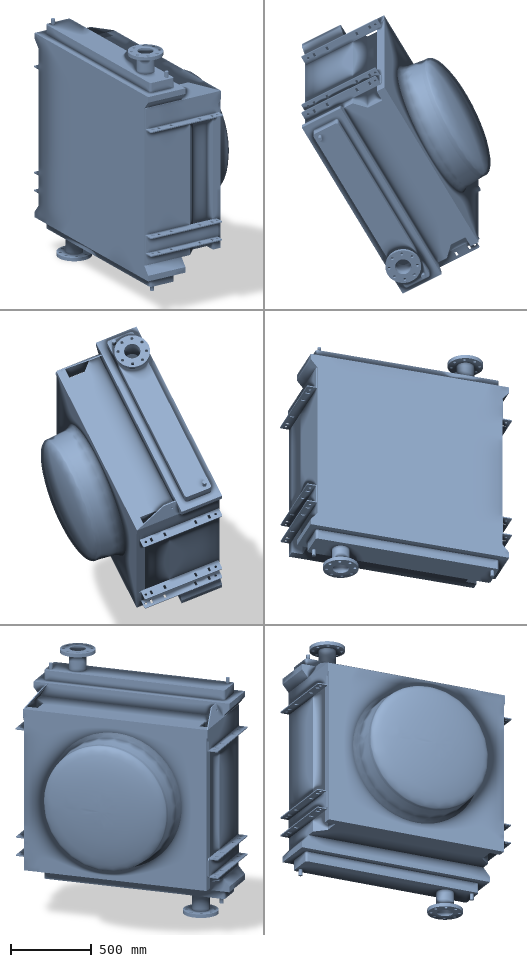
import cadquery as cq


body_half_width = 605.0
body_half_height = 525.0
body_depth = 562.0
rear_flange = 55.0
groove_depth = 70.0
groove_ramp_rear = 405.0
groove_ramp_front = 337.0

header_half_width = 649.0
header_depth = 275.0
header_edge = 577.0
header_height = 615.0

tank_half_width = 598.0
tank_depth = 178.0
tank_centre_y = 137.0
tank_height = 680.0
tank_corner = 15.0

pipe_x = 408
pipe_radius = 55.0
bore_radius = 50.0
overall_half_height = 815
pipe_flange_radius = 111.0
pipe_flange_thickness = 23.0
bolt_circle_radius = 88.0
bolt_hole_radius = 10.0
bolt_count = 8
plug_x = 565.0
plug_offset_y = 54.0
plug_radius = 12.2
plug_height = 719.0

cowl_radius = 406.0
flare_radius = 438.0
flare_middle_radius = 415.0
flare_middle_y = 618.0
band_start_y = 714.0
band_end_y = 738.0
dome_top_y = 830.0

sheet = 7.0
overall_half_width = 670.0
bracket_front = 7.0
bracket_rear = 545.0
bracket_corner = 8.0
web_corner = 10.0
upper_flange_z = 380.0
taper_low_z = 443.0
taper_high_z = 470.0
tab_lean = 49.0
tab_top_z = 606.0
tab_ridge_rear = 357.0
tab_hole_y = 311.0
tab_hole_z = 575.0
tab_hole_radius = 7.0
lower_channel_bottom = -447.0
lower_channel_top = -321.0

hole_x = 640.0
round_hole_radius = 8.0
round_hole_ys = [40.0, 515.0]
slot_width = 26.0
slot_depth = 15.0
slot_ys = [85.0, 176.0, 386.0, 478.0]


def box(x0, x1, y0, y1, z0, z1):
    """Box between the given limits."""
    return cq.Workplane("XY").box(x1 - x0, y1 - y0, z1 - z0, centered=False).translate((x0, y0, z0))


def upright_cylinder(radius, x, y, z0, z1):
    """Vertical cylinder between two heights."""
    return cq.Workplane("XY", origin=(x, y, z0)).circle(radius).extrude(z1 - z0)


def mirrored(part):
    """The same part on the other side of the middle plane X = 0."""
    return part.mirror("YZ")



def make_core():
    """Body with a vertical groove down each side."""
    core = box(
        -body_half_width, body_half_width, 0, body_depth, -body_half_height, body_half_height
    )
    groove_floor = body_half_width - groove_depth
    groove_rear = body_depth - rear_flange
    groove = (
        cq.Workplane("XY")
        .polyline([
            (body_half_width, groove_ramp_front),
            (groove_floor, groove_ramp_rear),
            (groove_floor, groove_rear),
            (body_half_width, groove_rear),
        ])
        .close()
        .extrude(body_half_height, both=True)
    )
    return core.cut(groove).cut(mirrored(groove))


def make_header():
    """Header with bevelled ends, wider than the body below it."""
    return (
        cq.Workplane("XZ")
        .polyline([
            (-body_half_width, body_half_height),
            (-header_half_width, header_edge),
            (-header_half_width, header_height),
            (header_half_width, header_height),
            (header_half_width, header_edge),
            (body_half_width, body_half_height),
        ])
        .close()
        .extrude(-header_depth)
    )


def make_tank():
    """Tank with rounded vertical edges and a vent plug at opposite corners."""
    tank = (
        box(
            -tank_half_width, tank_half_width,
            tank_centre_y - tank_depth / 2, tank_centre_y + tank_depth / 2,
            header_height, tank_height,
        )
        .edges("|Z")
        .fillet(tank_corner)
    )
    for side in (-1, 1):
        plug_y = tank_centre_y + side * plug_offset_y
        tank = tank.union(upright_cylinder(plug_radius, side * plug_x, plug_y, tank_height, plug_height))
    return tank


def make_pipe():
    """Bored pipe that ends in a bolted flange."""
    flange_bottom = overall_half_height - pipe_flange_thickness
    pipe = upright_cylinder(pipe_radius, pipe_x, tank_centre_y, tank_height, overall_half_height)
    flange = upright_cylinder(
        pipe_flange_radius, pipe_x, tank_centre_y, flange_bottom, overall_half_height
    )
    bore = upright_cylinder(bore_radius, pipe_x, tank_centre_y, tank_height, overall_half_height)
    half_step = 180 / bolt_count
    bolt_holes = (
        cq.Workplane("XY", origin=(pipe_x, tank_centre_y, flange_bottom))
        .polarArray(bolt_circle_radius, half_step, 360, bolt_count)
        .circle(bolt_hole_radius)
        .extrude(pipe_flange_thickness)
    )
    return pipe.union(flange).cut(bore).cut(bolt_holes)


def make_cowl():
    """Fan cowl turned about the Y axis."""
    return (
        cq.Workplane("XY")
        .moveTo(cowl_radius, band_end_y)
        .lineTo(cowl_radius, band_start_y)
        .spline(
            [(flare_middle_radius, flare_middle_y), (flare_radius, body_depth)],
            tangents=[(0, -1), (1, -1)],
            includeCurrent=True,
        )
        .lineTo(0, body_depth)
        .lineTo(0, dome_top_y)
        .ellipseArc(cowl_radius, dome_top_y - band_end_y, 0, 90, sense=-1)
        .close()
        .revolve(360, (0, 0, 0), (0, 1, 0))
    )


def make_radiator():
    """Body, cowl and both ends; the bottom end is the top end turned half round about Y."""
    top_end = make_header().union(make_tank()).union(make_pipe())
    bottom_end = top_end.rotate((0, 0, 0), (0, 1, 0), 180)
    return make_core().union(make_cowl()).union(top_end).union(bottom_end)



def make_flange(z0, rear):
    """Horizontal bracket flange with rounded outer corners, a row of slots and two round holes."""
    flange = (
        box(body_half_width, overall_half_width, bracket_front, rear, z0, z0 + sheet)
        .edges("|Z and >X")
        .fillet(bracket_corner)
    )
    for y in round_hole_ys:
        flange = flange.cut(upright_cylinder(round_hole_radius, hole_x, y, z0, z0 + sheet))
    slots = (
        cq.Workplane("XY", origin=(hole_x, 0, z0))
        .pushPoints([(0, y) for y in slot_ys])
        .rect(slot_width, slot_depth)
        .extrude(sheet)
    )
    return flange.cut(slots)


def make_upper_web():
    """Upright web of the upper bracket; it widens to the back of the body above its flange."""
    return (
        cq.Workplane("YZ", origin=(body_half_width, 0, 0))
        .polyline([
            (bracket_front, upper_flange_z),
            (bracket_rear, upper_flange_z),
            (bracket_rear, taper_low_z),
            (body_depth, taper_high_z),
            (body_depth, body_half_height),
            (bracket_front, body_half_height),
        ])
        .close()
        .extrude(sheet)
    )


def make_tab():
    """Tab folded inwards from the top of the upper web, behind the header."""
    web_outside = body_half_width + sheet
    leaning_sheet = (
        cq.Workplane("XZ")
        .polyline([
            (body_half_width, body_half_height),
            (web_outside, body_half_height),
            (web_outside - tab_lean, tab_top_z),
            (body_half_width - tab_lean, tab_top_z),
        ])
        .close()
        .extrude(-body_depth)
    )
    outline = (
        cq.Workplane("YZ")
        .polyline([
            (header_depth, body_half_height),
            (body_depth, body_half_height),
            (tab_ridge_rear, tab_top_z),
            (header_depth, tab_top_z),
        ])
        .close()
        .extrude(overall_half_width)
    )
    hole = (
        cq.Workplane("YZ")
        .center(tab_hole_y, tab_hole_z)
        .circle(tab_hole_radius)
        .extrude(overall_half_width)
    )
    return leaning_sheet.intersect(outline).cut(hole)


def make_upper_bracket():
    """Angle bracket: web, flange and folded tab."""
    return make_upper_web().union(make_flange(upper_flange_z, bracket_rear)).union(make_tab())


def make_lower_bracket():
    """Channel bracket: web with a flange along its top and bottom."""
    web = (
        box(
            body_half_width, body_half_width + sheet, bracket_front, bracket_rear,
            lower_channel_bottom, lower_channel_top,
        )
        .edges("|X and >Y")
        .chamfer(web_corner)
    )
    flange_rear = bracket_rear - web_corner
    bottom_flange = make_flange(lower_channel_bottom, flange_rear)
    top_flange = make_flange(lower_channel_top - sheet, flange_rear)
    return web.union(bottom_flange).union(top_flange)


radiator = make_radiator()
brackets = []
for bracket in (make_upper_bracket(), make_lower_bracket()):
    brackets.append(bracket.val())
    brackets.append(mirrored(bracket).val())

result = cq.Compound.makeCompound([radiator.val(), *brackets])